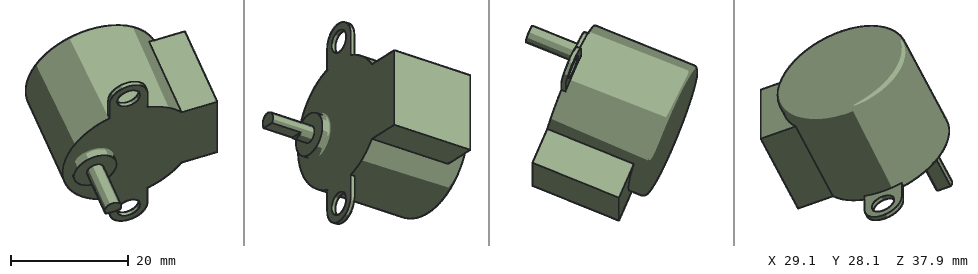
import cadquery as cq

can_diameter = 23.95
can_length = 18.95
can_edge_radius = 0.8

ear_thickness = 0.8
ear_width = 6.9
ear_hole_diameter = 4.15
overall_height = 37.9
ear_spacing = overall_height - ear_width

housing_start = 2.95
housing_width = 14.3
overall_depth = 28.1
housing_reach = overall_depth - can_diameter / 2

shaft_offset = -6.6
boss_diameter = 7.75
boss_length = 1.48
boss_foot_size = 0.35
shaft_diameter = 3.07
overall_length = 29.1
flat_start = 23.1
flat_depth = 0.6


def x_cylinder(start, end, diameter, y=0.0, z=0.0):
    """Cylinder along X between two positions."""
    return (
        cq.Workplane("YZ", origin=(start, y, z))
        .circle(diameter / 2)
        .extrude(end - start)
    )


def make_can():
    return x_cylinder(0, can_length, can_diameter).faces("<X").edges().fillet(can_edge_radius)


def make_ears():
    """One long slot-shaped plate whose ends form both ears."""
    ear_start = can_length - ear_thickness
    plate = (
        cq.Workplane("YZ", origin=(ear_start, 0, 0))
        .slot2D(overall_height, ear_width, 90)
        .extrude(ear_thickness)
    )
    for side in (-1, 1):
        hole_z = side * ear_spacing / 2
        plate = plate.cut(x_cylinder(ear_start, can_length, ear_hole_diameter, z=hole_z))
    return plate


def make_housing():
    """Block from the can axis outwards; its inner part merges into the can."""
    return cq.Workplane("XY").box(
        can_length - housing_start, housing_reach, housing_width, centered=(False, False, True)
    ).translate((housing_start, 0, 0))


def make_boss():
    """Boss with a concave fillet where it meets the front face."""
    radius = boss_diameter / 2
    boss_end = can_length + boss_length
    return (
        cq.Workplane("XY")
        .moveTo(can_length, 0)
        .lineTo(can_length, radius + boss_foot_size)
        .radiusArc((can_length + boss_foot_size, radius), -boss_foot_size)
        .lineTo(boss_end, radius)
        .lineTo(boss_end, 0)
        .close()
        .revolve(360, (0, 0, 0), (1, 0, 0))
        .translate((0, shaft_offset, 0))
    )


def make_shaft():
    """Round shaft with a flat on its lower side, running to the tip."""
    shaft = x_cylinder(can_length, overall_length, shaft_diameter, y=shaft_offset)
    flat_cut = cq.Workplane("XY").box(
        overall_length - flat_start, shaft_diameter, flat_depth, centered=(False, True, False)
    ).translate((flat_start, shaft_offset, -shaft_diameter / 2))
    return shaft.cut(flat_cut)


result = (
    make_can()
    .union(make_ears())
    .union(make_housing())
    .union(make_boss())
    .union(make_shaft())
)